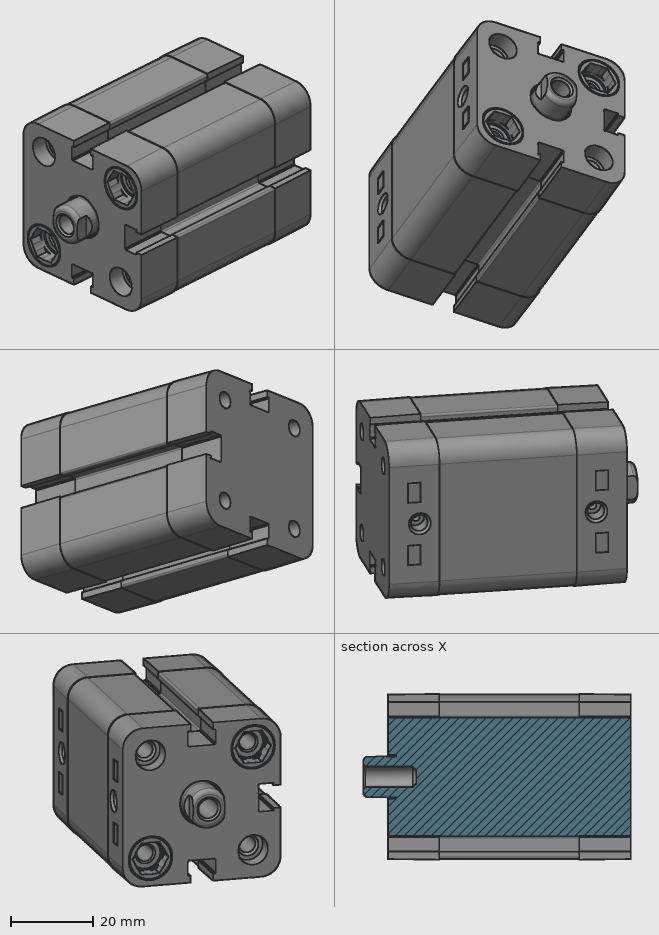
import cadquery as cq
import math


barrel_width = 40.0
cap_draft_offset = 0.15
cap_length = 12.5
barrel_length = 34.0
corner_radius = 5.0
body_length = barrel_length + 2 * cap_length

slot_opening = 5.7
slot_width = 7.0
slot_floor = 14.4
slot_lip = 18.25
slot_floor_fillet = 0.4
slot_lip_fillet = 0.2
slot_floor_chamfer = 0.3
slot_lip_chamfer = 0.2
barrel_slot_inset = 0.05
slot_mouth_flare = 0.43
slot_mouth_flare_depth = 0.6
slot_angles = (0, 90, -90)
cut_reach = barrel_width

rod_diameter = 10.0
rod_protrusion = 6.0
rod_tip_diameter = 7.5
rod_tip_fillet = (rod_diameter - rod_tip_diameter) / 2
rod_flats_width = 8.0
rod_flats_length = 3.25
rod_thread_mouth = 6.0
rod_thread_core = 4.92
rod_thread_depth = 12.0
rod_thread_bottom = 3.2
rod_recess_mouth = 11.1
rod_recess_diameter = 10.5
rod_recess_cone_depth = 0.6
rod_recess_depth = 2.0

hole_offset = 13.0
through_diameter = 4.13
bore_diameter = 7.5
bore_depth = 4.5
bore_countersink = 5.4

screw_seat_diameter = 11.1
screw_head_diameter = 10.8
screw_head_edge = 10.4
screw_gap_depth = 1.0
socket_across_flats = 7.9
socket_depth = 3.2
socket_relief_diameter = 8.1
socket_relief_depth = 4.2
socket_bottom_diameter = 7.55
socket_bottom_depth = 4.4
screw_countersink = 5.0

port_inset = 7.6
port_mouth = 5.5
port_diameter = 4.13
port_depth = 5.0
passage_diameter = 2.0
passage_end = 12.5
label_inset = 6.25
label_length = 3.1
label_height = 5.0
label_offset = 8.0
label_depth = 0.2


def revolved(profile, x=0.0, z=0.0):
    """Solid of revolution about a Y-parallel axis from (radius, y) points."""
    solid = cq.Workplane("XY").polyline(profile).close().revolve(360, (0, 0), (0, 1))
    return solid.translate((x, 0, z))


def cylinder(diameter, y_start, y_end, x=0.0, z=0.0):
    radius = diameter / 2
    return revolved([(0, y_start), (radius, y_start), (radius, y_end), (0, y_end)], x, z)


def rounded_square():
    return cq.Sketch().rect(barrel_width, barrel_width).vertices().fillet(corner_radius)


def make_cap():
    """Front cap: grows by the draft offset from its outer face to the barrel."""
    draft = math.degrees(math.atan(cap_draft_offset / cap_length))
    cap = cq.Workplane("XZ").placeSketch(rounded_square()).extrude(cap_length, taper=-draft)
    return cap.mirror("XZ")


def make_body():
    front_cap = make_cap()
    rear_cap = front_cap.mirror("XZ").translate((0, body_length, 0))
    barrel = cq.Workplane("XZ").placeSketch(rounded_square()).extrude(-barrel_length)
    return front_cap.union(barrel.translate((0, cap_length, 0))).union(rear_cap)


def box_between(x_range, y_range, z_range):
    size = [high - low for low, high in (x_range, y_range, z_range)]
    centre = [(high + low) / 2 for low, high in (x_range, y_range, z_range)]
    return cq.Workplane("XY").box(*size).translate(tuple(centre))


def slot_channel(y_start, y_end, inset):
    """Wide inner part of a T-slot opening toward +X."""
    half_width = slot_width / 2 - inset
    return box_between((slot_floor + inset, slot_lip), (y_start, y_end), (-half_width, half_width))


def slot_mouth(y_start, y_end, inset):
    """Narrow outer part of a T-slot opening toward +X."""
    half_opening = slot_opening / 2 - inset
    return box_between((slot_floor + inset, cut_reach), (y_start, y_end), (-half_opening, half_opening))


def cap_slot(y_start, y_end):
    channel = slot_channel(y_start, y_end, 0)
    channel = channel.edges("|Y and <X").chamfer(slot_floor_chamfer)
    channel = channel.edges("|Y and >X").chamfer(slot_lip_chamfer)
    return channel.union(slot_mouth(y_start, y_end, 0))


def mouth_flare():
    """Material removed where the barrel slot edges are rounded over."""
    half_opening = slot_opening / 2 - barrel_slot_inset
    face = barrel_width / 2
    width = slot_mouth_flare + barrel_slot_inset
    depth = slot_mouth_flare_depth
    radius = (width**2 + depth**2) / (2 * width)
    upper = (
        cq.Workplane("XZ")
        .moveTo(face - depth, half_opening)
        .radiusArc((face, half_opening + width), -radius)
        .lineTo(face, half_opening)
        .close()
        .extrude(-barrel_length)
        .translate((0, cap_length, 0))
    )
    return upper.union(upper.mirror("XY"))


def barrel_slot(y_start, y_end):
    channel = slot_channel(y_start, y_end, barrel_slot_inset)
    channel = channel.edges("|Y and <X").fillet(slot_floor_fillet)
    channel = channel.edges("|Y and >X").fillet(slot_lip_fillet)
    return channel.union(slot_mouth(y_start, y_end, barrel_slot_inset)).union(mouth_flare())


def make_slot():
    barrel_end = cap_length + barrel_length
    slot = barrel_slot(cap_length, barrel_end)
    return slot.union(cap_slot(0, cap_length)).union(cap_slot(barrel_end, body_length))


def make_rod():
    rod = cylinder(rod_diameter, -rod_protrusion, rod_recess_depth)
    rod = rod.faces("<Y").edges().fillet(rod_tip_fillet)
    half_flats = rod_flats_width / 2
    flats_end = rod_flats_length - rod_protrusion
    run_out = rod_diameter / 2 - half_flats
    flat = (
        cq.Workplane("XY")
        .polyline([
            (half_flats, -rod_protrusion),
            (half_flats, flats_end),
            (half_flats + run_out, flats_end + run_out),
            (half_flats + run_out, -rod_protrusion),
        ])
        .close()
        .extrude(rod_diameter / 2, both=True)
    )
    return rod.cut(flat).cut(flat.mirror("YZ"))


def rod_thread():
    mouth = rod_thread_mouth / 2
    core = rod_thread_core / 2
    bottom = rod_thread_bottom / 2
    tip = -rod_protrusion
    depth_end = tip + rod_thread_depth
    return revolved([
        (0, tip),
        (mouth, tip),
        (core, tip + mouth - core),
        (core, depth_end),
        (bottom, depth_end + core - bottom),
        (0, depth_end + core - bottom),
    ])


def rod_recess():
    mouth = rod_recess_mouth / 2
    wall = rod_recess_diameter / 2
    rod = rod_diameter / 2
    return revolved([
        (rod, 0),
        (mouth, 0),
        (wall, rod_recess_cone_depth),
        (wall, rod_recess_depth),
        (rod, rod_recess_depth),
    ])


def countersunk_through_hole(countersink, y_floor, x, z):
    """Through hole to the rear face with a 45 degree countersink at y_floor."""
    outer = countersink / 2
    inner = through_diameter / 2
    return revolved([
        (0, y_floor),
        (outer, y_floor),
        (inner, y_floor + outer - inner),
        (inner, body_length),
        (0, body_length),
    ], x, z)


def plain_hole(x, z):
    bore = cylinder(bore_diameter, 0, bore_depth, x, z)
    return bore.union(countersunk_through_hole(bore_countersink, bore_depth, x, z))


def screw_hole(x, z):
    """Gap round a flush screw head, its hexagon socket and its through hole."""
    seat = screw_seat_diameter / 2
    head = screw_head_diameter / 2
    edge = screw_head_edge / 2
    gap = revolved([
        (edge, 0),
        (seat, 0),
        (seat, screw_gap_depth),
        (head, screw_gap_depth),
        (head, head - edge),
    ], x, z)
    across_corners = socket_across_flats / math.cos(math.pi / 6)
    socket = cq.Workplane("XZ").polygon(6, across_corners).extrude(-socket_depth)
    socket = socket.translate((x, 0, z))
    relief = cylinder(socket_relief_diameter, 0, socket_relief_depth, x, z)
    bottom = cylinder(socket_bottom_diameter, 0, socket_bottom_depth, x, z)
    through = countersunk_through_hole(screw_countersink, socket_bottom_depth, x, z)
    return gap.union(socket).union(relief).union(bottom).union(through)


def side_face_x(y):
    """X of the drafted -X cap face at a distance y from the nearest end."""
    return -(barrel_width / 2 + cap_draft_offset * y / cap_length)


def make_port(y, inset):
    face = side_face_x(inset)
    mouth = port_mouth / 2
    wall = port_diameter / 2
    passage = passage_diameter / 2
    profile = [
        (-cut_reach, 0),
        (-cut_reach, mouth),
        (face, mouth),
        (face + mouth - wall, wall),
        (face + port_depth, wall),
        (face + port_depth, passage),
        (-passage_end, passage),
        (-passage_end, 0),
    ]
    port = cq.Workplane("XY").polyline(profile).close().revolve(360, (0, 0), (1, 0))
    return port.translate((0, y, 0))


def label_pocket(y, z, inset):
    floor = side_face_x(inset) + label_depth
    return box_between(
        (-cut_reach, floor),
        (y - label_length / 2, y + label_length / 2),
        (z - label_height / 2, z + label_height / 2),
    )


body = make_body()

slot = make_slot()
for angle in slot_angles:
    body = body.cut(slot.rotate((0, 0, 0), (0, 1, 0), angle))

for side in (1, -1):
    body = body.cut(screw_hole(side * hole_offset, side * hole_offset))
    body = body.cut(plain_hole(side * hole_offset, -side * hole_offset))

for y in (port_inset, body_length - port_inset):
    body = body.cut(make_port(y, port_inset))

for y in (label_inset, body_length - label_inset):
    for z in (label_offset, -label_offset):
        body = body.cut(label_pocket(y, z, label_inset))

result = body.cut(rod_recess()).union(make_rod()).cut(rod_thread())